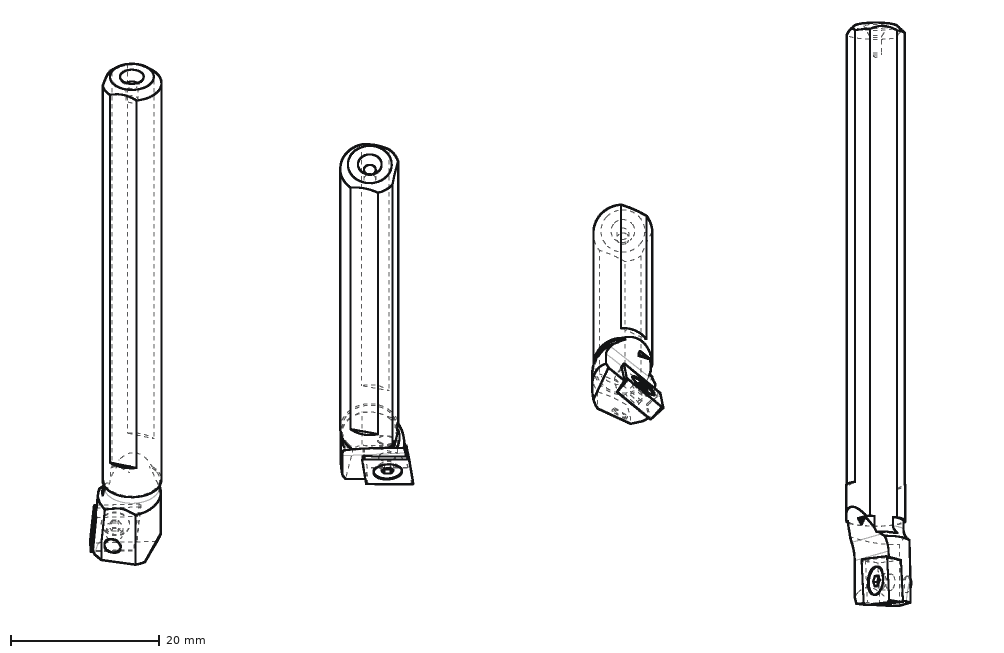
import cadquery as cq
import math

total_length = 80.0
shank_radius = 4.0
shank_bottom = 12.2
end_chamfer = 1.0
flat_distance = 3.5
side_flat_bottom = 10.0
grip_flat_bottom = 17.0
centre_hole_radius = 1.6
pilot_radius = 0.8
pilot_length = 2.4
countersink_half_angle = 30.0
drill_tip_half_angle = 59.0

neck_radius = 3.8
flare_top = 11.0
flare_radius = 1.9

head_radius = 4.3
head_offset_x = -0.3
head_offset_y = -0.3
head_face_y = -4.0
column_left = -1.2
wedge_right = 0.0
wedge_back = 2.4
wedge_front_corner = (-3.3, head_face_y)
wedge_arc_middle = (-4.7, -2.4)
wedge_arc_end = (-5.5, 0.0)
wedge_overrun = 1.6
chamfer_front = (-3.0, head_face_y)
chamfer_left = (-6.4, -1.3)
bottom_clearance = 0.4
back_relief_start = 3.8
back_relief_angle = 22.0
lead_angle = 5.0

rake_tilt = 15.0
chip_face_drop = 0.6
chip_fillet_bottom = 7.2
chip_fillet_radius = 4.8
chip_ramp_angle = 30.0

nose_x = -6.0
insert_angle = 80.0
inscribed_circle = 6.3
insert_thickness = 2.4
insert_relief = 7.0
nose_radius = 0.2

screw_radius = 1.1
screw_head_radius = 1.9
screw_head_height = 0.8
screw_head_recess = 0.2
screw_length = 5.0
screw_hole_length = 6.4
drive_width = 1.6
drive_depth = 0.6

cut_size = 4 * shank_radius
head_height = shank_bottom


def sin(angle):
    return math.sin(math.radians(angle))


def cos(angle):
    return math.cos(math.radians(angle))


def tan(angle):
    return math.tan(math.radians(angle))


rake_plane = cq.Plane(
    origin=(nose_x, 0, 0),
    xDir=(cos(rake_tilt), sin(rake_tilt), 0),
    normal=(sin(rake_tilt), -cos(rake_tilt), 0),
)

rhombus_side = (inscribed_circle - 2 * nose_radius) / sin(insert_angle)
long_step = rhombus_side * cos(lead_angle)
short_step = rhombus_side * sin(lead_angle)
insert_centre = nose_radius + (long_step + short_step) / 2


def insert_blank():
    """Rounded rhombus with relieved sides, before its screw hole."""
    corner = nose_radius
    far_corner = nose_radius + long_step + short_step
    return (
        cq.Workplane(rake_plane)
        .polyline([
            (corner, corner),
            (corner + long_step, corner + short_step),
            (far_corner, far_corner),
            (corner + short_step, corner + long_step),
        ])
        .close()
        .offset2D(nose_radius)
        .extrude(insert_thickness, taper=insert_relief)
    )


def screw_blank():
    """Countersunk screw without its drive socket."""
    profile = (
        cq.Workplane("XZ")
        .moveTo(0, screw_head_recess)
        .lineTo(screw_head_radius, screw_head_recess)
        .lineTo(screw_radius, screw_head_recess + screw_head_height)
        .lineTo(screw_radius, screw_length)
        .lineTo(0, screw_length)
        .close()
    )
    screw = profile.revolve(360, (0, 0, 0), (0, 1, 0)).translate((insert_centre, insert_centre, 0))
    return cq.Workplane(screw.val().moved(cq.Location(rake_plane)))


def screw_opening():
    """Space above the screw head, open to the rake face."""
    return (
        cq.Workplane(rake_plane)
        .center(insert_centre, insert_centre)
        .circle(screw_head_radius)
        .extrude(screw_head_recess)
    )


def screw_hole():
    """Clearance through the head, open beyond the tilted end of the screw."""
    return (
        cq.Workplane(rake_plane)
        .center(insert_centre, insert_centre)
        .circle(screw_radius)
        .extrude(screw_hole_length)
    )


def drive_socket():
    return (
        cq.Workplane(rake_plane)
        .center(insert_centre, insert_centre)
        .polygon(6, drive_width)
        .extrude(screw_head_recess + drive_depth)
    )


def centre_hole():
    countersink_depth = (centre_hole_radius - pilot_radius) / tan(countersink_half_angle)
    pilot_bottom = total_length - countersink_depth - pilot_length
    tip = pilot_bottom - pilot_radius / tan(drill_tip_half_angle)
    return (
        cq.Workplane("XZ")
        .moveTo(0, total_length)
        .lineTo(centre_hole_radius, total_length)
        .lineTo(pilot_radius, total_length - countersink_depth)
        .lineTo(pilot_radius, pilot_bottom)
        .lineTo(0, tip)
        .close()
        .revolve(360, (0, 0, 0), (0, 1, 0))
    )


def block_above(bottom, x, y):
    """Cutting block above a height, centred on the given point."""
    height = total_length - bottom
    return (
        cq.Workplane("XY", origin=(x, y, bottom))
        .rect(cut_size, cut_size)
        .extrude(height)
    )


def shank():
    bar = (
        cq.Workplane("XY", origin=(0, 0, shank_bottom))
        .circle(shank_radius)
        .extrude(total_length - shank_bottom)
        .faces(">Z")
        .chamfer(end_chamfer)
    )
    flat_centre = flat_distance + cut_size / 2
    for side in (-1, 1):
        bar = bar.cut(block_above(grip_flat_bottom, 0, side * flat_centre))
    return bar.cut(centre_hole())


def flared_envelope():
    """Neck that flares out into a wide skirt, which limits the top of the head."""
    flare_bottom = flare_top - flare_radius
    skirt_radius = cut_size / 2
    half_turn = 45.0
    arc_middle_x = neck_radius + flare_radius * (1 - cos(half_turn))
    arc_middle_z = flare_top - flare_radius * sin(half_turn)
    return (
        cq.Workplane("XZ")
        .moveTo(0, shank_bottom)
        .lineTo(neck_radius, shank_bottom)
        .lineTo(neck_radius, flare_top)
        .threePointArc((arc_middle_x, arc_middle_z), (neck_radius + flare_radius, flare_bottom))
        .lineTo(skirt_radius, flare_bottom)
        .lineTo(skirt_radius, 0)
        .lineTo(0, 0)
        .close()
        .revolve(360, (0, 0, 0), (0, 1, 0))
    )


def head_side_limits():
    """Slanted bottom and back relief of the head, as a prism along Y."""
    right = cut_size / 2
    relief_depth = back_relief_start * tan(back_relief_angle)
    back_relief = (
        cq.Workplane("XZ", origin=(0, cut_size / 2, 0))
        .moveTo(shank_radius, back_relief_start)
        .lineTo(shank_radius - relief_depth, 0)
        .lineTo(right, 0)
        .lineTo(right, back_relief_start)
        .close()
        .extrude(cut_size)
    )
    return (
        cq.Workplane("XZ", origin=(0, cut_size / 2, 0))
        .moveTo(nose_x, bottom_clearance)
        .lineTo(right, bottom_clearance + (right - nose_x) * tan(lead_angle))
        .lineTo(right, head_height)
        .lineTo(nose_x, head_height)
        .close()
        .extrude(cut_size)
        .cut(back_relief)
    )


def leaning_wedge():
    """Side of the head beside the insert, leaning back by the lead angle."""
    return (
        cq.Workplane("XY", origin=(0, 0, -wedge_overrun))
        .moveTo(wedge_right, head_face_y)
        .lineTo(*wedge_front_corner)
        .threePointArc(wedge_arc_middle, wedge_arc_end)
        .lineTo(wedge_arc_end[0], wedge_back)
        .lineTo(wedge_right, wedge_back)
        .close()
        .extrude(head_height + 2 * wedge_overrun)
        .rotate((nose_x, 0, 0), (nose_x, 1, 0), lead_angle)
    )


def upright_wedge():
    """Upright corner chamfer that trims the foot of the leaning wedge."""
    return (
        cq.Workplane("XY")
        .moveTo(wedge_right, head_face_y)
        .lineTo(*chamfer_front)
        .lineTo(*chamfer_left)
        .lineTo(chamfer_left[0], wedge_back)
        .lineTo(shank_radius, wedge_back)
        .lineTo(shank_radius, head_face_y)
        .close()
        .extrude(head_height)
    )


def head():
    front_centre = head_face_y - cut_size / 2
    left_centre = column_left - cut_size / 2
    column = (
        cq.Workplane("XY")
        .center(head_offset_x, head_offset_y)
        .circle(head_radius)
        .extrude(head_height)
        .cut(cq.Workplane("XY").center(0, front_centre).rect(cut_size, cut_size).extrude(head_height))
        .cut(cq.Workplane("XY").center(left_centre, 0).rect(cut_size, cut_size).extrude(head_height))
    )
    blank = column.union(leaning_wedge()).intersect(upright_wedge().union(column))
    return blank.intersect(head_side_limits()).intersect(flared_envelope())


def chip_space():
    """Cut along the rake plane that curves up into a ramp."""
    fillet_rise = chip_fillet_radius * (1 - cos(chip_ramp_angle))
    fillet_top = chip_fillet_bottom + chip_fillet_radius * sin(chip_ramp_angle)
    half_angle = chip_ramp_angle / 2
    middle_rise = chip_fillet_radius * (1 - cos(half_angle))
    middle_z = chip_fillet_bottom + chip_fillet_radius * sin(half_angle)
    ramp_end = cut_size / 2
    ramp_top = fillet_top + (ramp_end - fillet_rise) / tan(chip_ramp_angle)
    section = cq.Plane(
        origin=rake_plane.toWorldCoords((-cut_size / 2, 0, chip_face_drop)),
        xDir=-rake_plane.zDir,
        normal=rake_plane.xDir,
    )
    return (
        cq.Workplane(section)
        .moveTo(0, 0)
        .lineTo(0, chip_fillet_bottom)
        .threePointArc((middle_rise, middle_z), (fillet_rise, fillet_top))
        .lineTo(ramp_end, ramp_top)
        .lineTo(ramp_end, 0)
        .close()
        .extrude(2 * cut_size)
    )


def make_bar():
    side_flat = block_above(side_flat_bottom, -flat_distance - cut_size / 2, 0)
    bar = shank().union(head()).cut(side_flat).cut(chip_space()).cut(insert_blank()).cut(screw_hole())
    return bar.union(screw_blank()).cut(drive_socket())


def make_insert():
    return insert_blank().cut(screw_blank()).cut(screw_opening())


bar = make_bar()
insert = make_insert()
result = cq.Compound.makeCompound([bar.val(), insert.val()])